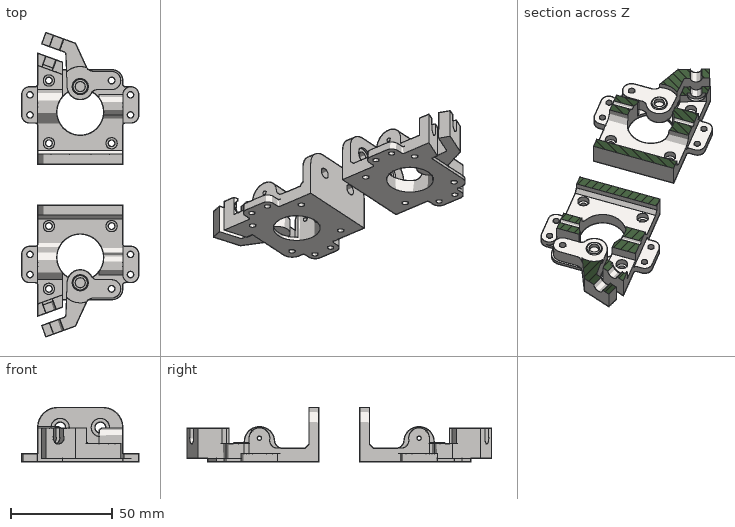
import cadquery as cq
import math

half_length = 75.3
wall_face_y = 10.1
body_width = 42.2
body_side = body_width / 2
plate_reach = 21.0
motor_y = 36.0
motor_hole_d = 23.0
screw_offset = 15.5
screw_d = 3.2
screw_head_d = 5.5
screw_head_depth = 3.3
base_top = 6.8

wall_thickness = 5.0
wall_height = 27.0
wall_corner_r = 10.0
wall_chamfer = 2.0
wall_hole_x = 10.0
wall_hole_z = 17.0
wall_hole_d = 5.3
wall_head_d = 9.0
wall_head_depth = 1.0

tab_span = 58.0
tab_reach = tab_span / 2
tab_length = 18.1
tab_height = 4.0
tab_corner_r = (tab_reach - body_side) / 2
tab_root_r = 1.0
tab_hole_d = 3.0
tab_hole_x = 24.9
tab_hole_spacing = 10.0

rod_y = 39.5
rod_z = 11.7
rod_hole_d = 2.0
left_boss_r = 7.5
left_boss_z = 10.0
right_boss_r = 5.1
boss_fillet = 3.9

floor_z = 1.8
recess_left = -8.7
right_boss_left = 9.3

seat_y = 48.5
seat_disc_r = 6.5
seat_rim_d = 8.0
seat_rim_top_d = 7.1
seat_rim_height = 0.5
seat_bore_d = 5.0
seat_bore_depth = 2.3
lever_top = 9.0
foot_r = 4.5
lever_fillet = 4.0
foot_fillet = 3.0
step_r = 10.0

clamp_angle = math.radians(20)
clamp_top = 16.7
jaw_thickness = 6.0
ear_thickness = 5.7
jaw_gap = 5.0
jaw_slot_u = 7.1
jaw_bore_d = 5.5
jaw_slot_width = 5.3
ear_recess_d = 9.0
ear_recess_depth = 1.4
arm_tip_u = 0.3
arm_inner_bend_u = 13.0
arm_outer_bend_u = 16.0
arm_inner_r = 1.0
arm_shoulder = (4.0, 56.0)

screw_y = motor_y + screw_offset
arm_outer_v = jaw_gap + jaw_thickness
ear_corner_y = half_length - arm_outer_v * math.cos(clamp_angle) + arm_tip_u * math.sin(clamp_angle)


def clamp_point(u, v):
    """Point u along the jaws and v outward from the outer corner of the ear."""
    x = -body_side + u * math.cos(clamp_angle) + v * math.sin(clamp_angle)
    y = ear_corner_y - u * math.sin(clamp_angle) + v * math.cos(clamp_angle)
    return (x, y)


def box(x0, x1, y0, y1, z0, z1):
    return cq.Workplane("XY").box(x1 - x0, y1 - y0, z1 - z0, centered=False).translate((x0, y0, z0))


def cylinder(x, y, diameter, z0, z1):
    return cq.Workplane("XY", origin=(x, y, z0)).circle(diameter / 2).extrude(z1 - z0)


def jaw_plane(v):
    """Plane across the clamp axis at v, facing the wall, with its Y along +Z."""
    x, y = clamp_point(jaw_slot_u, v)
    return cq.Plane(
        origin=(x, y, rod_z),
        xDir=(math.cos(clamp_angle), -math.sin(clamp_angle), 0),
        normal=(-math.sin(clamp_angle), -math.cos(clamp_angle), 0),
    )


def jaw_keyhole(v_outer):
    """Bore through one jaw, with a slot from the bore up to the open top."""
    start = cq.Workplane(jaw_plane(v_outer))
    slot_height = clamp_top - rod_z
    slot = start.center(0, slot_height / 2).rect(jaw_slot_width, slot_height).extrude(jaw_thickness)
    return cq.Workplane(jaw_plane(v_outer)).circle(jaw_bore_d / 2).extrude(jaw_thickness).union(slot)


def make_base():
    wall_inner = wall_face_y + wall_thickness
    base = box(-body_side, body_side, wall_face_y, motor_y + plate_reach, 0, base_top)
    corner_r = plate_reach - screw_offset
    base = base.edges("|Z and >X and >Y").fillet(corner_r)
    wall = box(-body_side, body_side, wall_face_y, wall_inner, 0, wall_height)
    wall = wall.edges("|Y and >Z").fillet(wall_corner_r)
    brace = (
        cq.Workplane("YZ", origin=(-body_side, 0, 0))
        .moveTo(wall_inner, base_top)
        .lineTo(wall_inner + wall_chamfer, base_top)
        .lineTo(wall_inner, base_top + wall_chamfer)
        .close()
        .extrude(body_width)
    )
    return base.union(wall).union(brace)


def make_ear_block():
    """Left strip of the base, ending in the tilted ear of the clamp."""
    width = recess_left + body_side
    outer_end = ear_corner_y - width * math.tan(clamp_angle)
    ear_depth = ear_thickness / math.cos(clamp_angle)
    strip = (
        cq.Workplane("XY")
        .polyline([
            (-body_side, motor_y),
            (recess_left, motor_y),
            (recess_left, outer_end),
            (-body_side, ear_corner_y),
        ])
        .close()
        .extrude(base_top)
    )
    ear = (
        cq.Workplane("XY")
        .polyline([
            (-body_side, ear_corner_y - ear_depth),
            (recess_left, outer_end - ear_depth),
            (recess_left, outer_end),
            (-body_side, ear_corner_y),
        ])
        .close()
        .extrude(clamp_top)
    )
    return strip.union(ear)


def make_boss(x0, x1, radius, center_z):
    """Ridge with a round top, a straight outer side and a fillet down to the base."""
    rise = base_top + boss_fillet - center_z
    run = math.sqrt((radius + boss_fillet) ** 2 - rise ** 2)
    share = radius / (radius + boss_fillet)
    tangent = (rod_y - run * share, center_z + rise * share)
    tangent_angle = math.atan2(-rise, run)
    middle_angle = (tangent_angle - math.pi / 2) / 2
    fillet_middle = (
        rod_y - run + boss_fillet * math.cos(middle_angle),
        base_top + boss_fillet + boss_fillet * math.sin(middle_angle),
    )
    return (
        cq.Workplane("YZ", origin=(x0, 0, 0))
        .moveTo(rod_y + radius, 0)
        .lineTo(rod_y + radius, center_z)
        .threePointArc((rod_y, center_z + radius), tangent)
        .threePointArc(fillet_middle, (rod_y - run, base_top))
        .lineTo(rod_y - run, 0)
        .close()
        .extrude(x1 - x0)
    )


def make_tab(side):
    """Rounded tab on one side, reaching just to the side of the body."""
    center_x = side * (body_side + tab_reach) / 2
    return (
        cq.Workplane("XY")
        .center(center_x, rod_y)
        .slot2D(tab_length, 2 * tab_corner_r, 90)
        .extrude(tab_height)
    )


def make_tab_root(side):
    """Straight inner half of a tab with concave fillets against the side of the body."""
    y_near = rod_y - tab_length / 2
    y_far = rod_y + tab_length / 2
    root = box(body_side, body_side + tab_corner_r, y_near, y_far, 0, tab_height)
    for end in (-1, 1):
        tab_edge = rod_y + end * tab_length / 2
        round_y = tab_edge + end * tab_root_r
        y_low, y_high = sorted((tab_edge, round_y))
        corner = box(body_side, body_side + tab_root_r, y_low, y_high, 0, tab_height)
        corner = corner.cut(cylinder(body_side + tab_root_r, round_y, 2 * tab_root_r, 0, tab_height))
        root = root.union(corner)
    return root if side > 0 else root.mirror("YZ")


def make_lever_recess():
    """Space above the thin floor, beside the ear block, the right boss and the right tab."""
    recess_end = motor_y + plate_reach
    boss_side = rod_y + right_boss_r
    far_right = (body_side + tab_reach) / 2
    recess = box(recess_left, right_boss_left, motor_y, recess_end, floor_z, wall_height)
    recess = recess.union(box(recess_left, far_right, boss_side, recess_end, floor_z, wall_height))
    return recess.cut(make_tab(1))


def make_mount():
    mount = make_base().union(make_ear_block())
    mount = mount.union(make_boss(-body_side, recess_left, left_boss_r, left_boss_z))
    mount = mount.union(make_boss(right_boss_left, body_side, right_boss_r, rod_z))
    for side in (-1, 1):
        mount = mount.union(make_tab(side)).union(make_tab_root(side))
    mount = mount.cut(make_lever_recess())
    mount = mount.cut(cylinder(0, motor_y, motor_hole_d, 0, wall_height))

    for side_x in (-1, 1):
        for side_y in (-1, 1):
            x = side_x * screw_offset
            y = motor_y + side_y * screw_offset
            mount = mount.cut(cylinder(x, y, screw_d, 0, base_top))
            if (side_x, side_y) != (1, 1):
                mount = mount.cut(cylinder(x, y, screw_head_d, base_top - screw_head_depth, base_top))

    for side in (-1, 1):
        for end in (-1, 1):
            hole_y = rod_y + end * tab_hole_spacing / 2
            mount = mount.cut(cylinder(side * tab_hole_x, hole_y, tab_hole_d, 0, tab_height))

    for side in (-1, 1):
        inner_face = cq.Workplane(
            "XZ", origin=(side * wall_hole_x, wall_face_y + wall_thickness, wall_hole_z)
        )
        mount = mount.cut(inner_face.circle(wall_hole_d / 2).extrude(wall_thickness))
        mount = mount.cut(inner_face.circle(wall_head_d / 2).extrude(wall_head_depth))

    rod_start = cq.Workplane("YZ", origin=(-body_side, rod_y, rod_z))
    rod_hole = rod_start.circle(rod_hole_d / 2).extrude(body_width)
    mount = mount.cut(rod_hole).cut(jaw_keyhole(0))
    ear_recess = (
        cq.Workplane(jaw_plane(ear_recess_depth - ear_thickness))
        .circle(ear_recess_d / 2)
        .extrude(ear_recess_depth)
    )
    return mount.cut(ear_recess)


def make_arm(z_top):
    """Arm from the seat axis out to its clamp jaw, from the recess floor up to z_top."""
    inner_bend = clamp_point(arm_inner_bend_u, jaw_gap)
    outline = [
        (0, seat_y),
        (-seat_disc_r, seat_y),
        inner_bend,
        clamp_point(arm_tip_u, jaw_gap),
        clamp_point(arm_tip_u, arm_outer_v),
        clamp_point(arm_outer_bend_u, arm_outer_v),
        arm_shoulder,
    ]
    arm = cq.Workplane("XY", origin=(0, 0, floor_z)).polyline(outline).close().extrude(z_top - floor_z)
    bend = cq.selectors.NearestToPointSelector((*inner_bend, (floor_z + z_top) / 2))
    return arm.edges("|Z").edges(bend).fillet(arm_inner_r)


def make_lever():
    middle_z = (floor_z + lever_top) / 2
    lever = make_arm(lever_top).union(cylinder(0, seat_y, 2 * seat_disc_r, floor_z, lever_top))
    lever = lever.union(box(0, screw_offset, screw_y - foot_r, screw_y + foot_r, floor_z, lever_top))
    lever = lever.union(cylinder(screw_offset, screw_y, 2 * foot_r, floor_z, lever_top))

    shoulder = cq.selectors.NearestToPointSelector((*arm_shoulder, middle_z))
    lever = lever.edges("|Z").edges(shoulder).fillet(lever_fillet)
    disc_drop = seat_y - (screw_y - foot_r)
    disc_corner_x = math.sqrt(seat_disc_r ** 2 - disc_drop ** 2)
    disc_corner = cq.selectors.NearestToPointSelector((disc_corner_x, screw_y - foot_r, middle_z))
    lever = lever.edges("|Z").edges(disc_corner).fillet(foot_fillet)

    raised_arm = make_arm(clamp_top).cut(cylinder(0, seat_y, 2 * step_r, floor_z, clamp_top))
    lever = lever.union(raised_arm)
    rim = (
        cq.Workplane("XY", origin=(0, seat_y, lever_top))
        .circle(seat_rim_d / 2)
        .workplane(offset=seat_rim_height)
        .circle(seat_rim_top_d / 2)
        .loft()
    )
    rim_top = lever_top + seat_rim_height
    lever = lever.union(rim)
    lever = lever.cut(cylinder(0, seat_y, seat_bore_d, rim_top - seat_bore_depth, rim_top))
    lever = lever.cut(cylinder(screw_offset, screw_y, screw_d, floor_z, lever_top))
    return lever.cut(jaw_keyhole(arm_outer_v))


bodies = []
for body in (make_mount(), make_lever()):
    bodies.append(body.solids().val())
    bodies.append(body.mirror("XZ").solids().val())

result = cq.Compound.makeCompound(bodies)